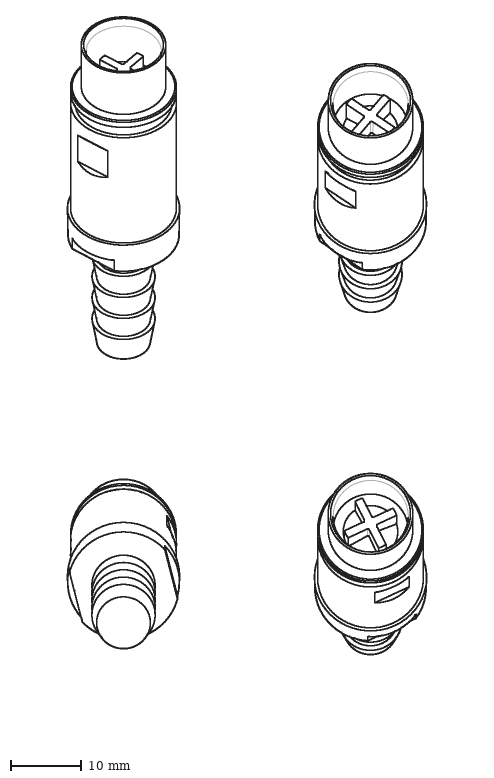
import cadquery as cq

total_length = 56.35

barb_count = 5
barb_pitch = 4.0
barb_top_radius = 4.5
barb_bottom_radius = 3.85

collar_bottom = 20.35
collar_top = 25.35
collar_top_radius = 8.0
collar_bottom_radius = 7.95
wrench_flat_height = 2.0
wrench_flat_offset = 7.0

body_radius = 7.55
groove_bottom = 45.35
groove_top = 47.35
groove_radius = 6.95
flange_top = 48.45
flange_chamfer_width = 0.2
flange_chamfer_height = 0.15

recess_offset = 7.05
recess_bottom = 37.6
recess_top = 42.55

tube_radius = 6.05
bore_radius = 5.35
bore_mouth_radius = 5.7
bore_mouth_depth = 1.1
bore_floor = flange_top

funnel_bottom_radius = 3.9
funnel_depth = 0.85
funnel_bottom = bore_floor - funnel_depth
cone_height = 1.05
cross_top = 51.85
cross_width = 1.2
cross_corner_radius = 0.2


def hose_tail():
    """Solid barbed tail; the lowest barb takes up the length left below the full pitches."""
    points = [(0, 0), (barb_bottom_radius, 0)]
    for level in range(barb_count - 1, 0, -1):
        edge = collar_bottom - level * barb_pitch
        points += [(barb_top_radius, edge), (barb_bottom_radius, edge)]
    points += [(barb_top_radius, collar_bottom), (0, collar_bottom)]
    return cq.Workplane("XZ").polyline(points).close().revolve(360, (0, 0), (0, 1))


def housing():
    """Collar, grooved body and hollow mating tube as one revolved shape."""
    points = [
        (0, collar_bottom),
        (collar_bottom_radius, collar_bottom),
        (collar_top_radius, collar_top),
        (body_radius, collar_top),
        (body_radius, groove_bottom),
        (groove_radius, groove_bottom),
        (groove_radius, groove_top),
        (body_radius, groove_top),
        (body_radius, flange_top - flange_chamfer_height),
        (body_radius - flange_chamfer_width, flange_top),
        (tube_radius, flange_top),
        (tube_radius, total_length),
        (bore_mouth_radius, total_length),
        (bore_radius, total_length - bore_mouth_depth),
        (bore_radius, bore_floor),
        (funnel_bottom_radius, funnel_bottom),
        (0, funnel_bottom + cone_height),
    ]
    return cq.Workplane("XZ").polyline(points).close().revolve(360, (0, 0), (0, 1))


def cross_key():
    """Cross standing on the cone, its arms trimmed to the foot of the funnel."""
    height = cross_top - funnel_bottom
    span = 2 * funnel_bottom_radius
    base = cq.Workplane("XY").workplane(offset=funnel_bottom)
    cross = base.rect(span, cross_width).extrude(height)
    cross = cross.union(base.rect(cross_width, span).extrude(height))
    half_corner = cross_width / 2 + cross_corner_radius
    inner_corners = cq.selectors.BoxSelector(
        (-half_corner, -half_corner, funnel_bottom), (half_corner, half_corner, cross_top)
    )
    cross = cross.edges("|Z").edges(inner_corners).fillet(cross_corner_radius)
    return cross.intersect(base.circle(funnel_bottom_radius).extrude(height))


def wrench_flats():
    """Material beyond the two flats on the lower part of the collar."""
    depth = collar_top_radius - wrench_flat_offset
    blocks = cq.Workplane("XY")
    for side in (-1, 1):
        center_y = side * (wrench_flat_offset + depth / 2)
        block = (
            cq.Workplane("XY", origin=(0, center_y, collar_bottom))
            .rect(2 * collar_top_radius, depth)
            .extrude(wrench_flat_height)
        )
        blocks = blocks.union(block)
    return blocks


def body_recesses():
    """Material beyond the two flat recesses, widening outward at 45 degrees."""
    depth = body_radius - recess_offset
    blocks = cq.Workplane("XY")
    for side in (-1, 1):
        profile = [
            (side * recess_offset, recess_bottom),
            (side * recess_offset, recess_top),
            (side * body_radius, recess_top + depth),
            (side * body_radius, recess_bottom - depth),
        ]
        blocks = blocks.union(
            cq.Workplane("YZ").polyline(profile).close().extrude(body_radius, both=True)
        )
    return blocks


result = (
    housing()
    .union(hose_tail())
    .union(cross_key())
    .cut(wrench_flats())
    .cut(body_recesses())
)